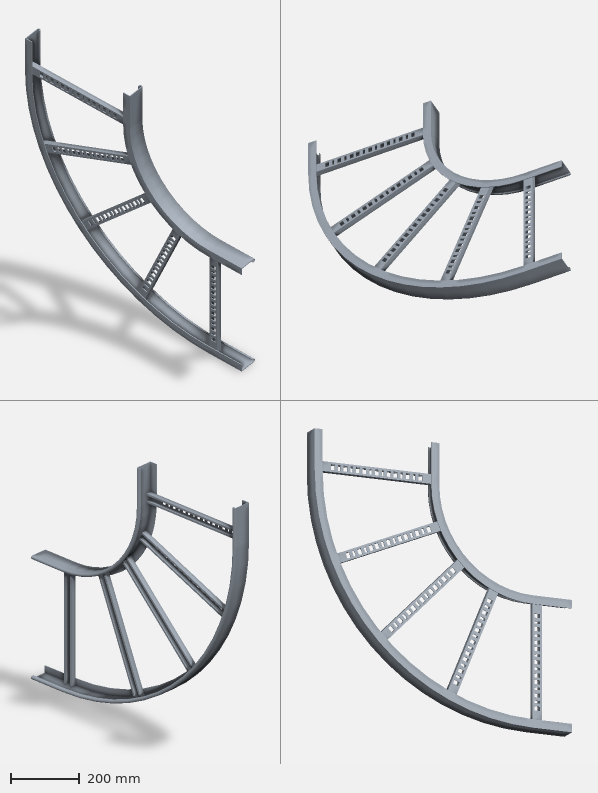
import cadquery as cq
import math

overall = 825.0
straight = 125.0
tray_width = 399.0
outer_radius = overall - straight
inner_radius = outer_radius - tray_width

rail_depth = 60.0
sheet = 2.5
flange_width = 25.5
curl_radius = 6.0
curl_drop = 9.0

rung_width = 30.0
rung_depth = 17.0
lip_width = 6.2
fan_angles = [22.5, 45.0, 67.5]

slot_height = 17.0
wide_slot = 12.0
narrow_slot = 7.5
slot_row = 280.0
slot_widths = [
    narrow_slot if kind == "n" else wide_slot
    for kind in "WnWnWWnWnWWnWnW"
]
slot_pitch = slot_row / (len(slot_widths) - 1)

front = -rail_depth / 2
back = rail_depth / 2


def follow_bend(section, radius):
    """Sweep a closed section, drawn at the top end, down, round the elbow and out along +X."""
    middle = radius * math.sqrt(0.5)
    path = (
        cq.Workplane("XZ")
        .moveTo(-radius, straight)
        .lineTo(-radius, 0)
        .threePointArc((-middle, -middle), (0, -radius))
        .lineTo(straight, -radius)
    )
    return section.sweep(path)


def make_rail(radius, inward):
    """Rail with its web face at the given radius; inward is the X sign towards the rungs."""
    def at(offset, y):
        return (-radius + inward * offset, y)

    curl_y = back - curl_radius
    curl_width = 2 * curl_radius
    section = (
        cq.Workplane("XY", origin=(0, 0, straight))
        .moveTo(*at(flange_width, front))
        .lineTo(*at(0, front))
        .lineTo(*at(0, curl_y))
        .threePointArc(at(curl_radius, back), at(curl_width, curl_y))
        .lineTo(*at(curl_width, back - curl_drop))
        .lineTo(*at(curl_width - sheet, back - curl_drop))
        .lineTo(*at(curl_width - sheet, curl_y))
        .threePointArc(at(curl_radius, back - sheet), at(sheet, curl_y))
        .lineTo(*at(sheet, front + sheet))
        .lineTo(*at(flange_width, front + sheet))
        .close()
    )
    return follow_bend(section, radius)


def make_space_between_webs():
    """Solid filling the gap between the rail webs; it trims the rung ends to fit them."""
    gap = tray_width - 2 * sheet
    middle_radius = (outer_radius + inner_radius) / 2
    section = (
        cq.Workplane("XY", origin=(-middle_radius, 0, straight))
        .rect(gap, rail_depth)
    )
    return follow_bend(section, middle_radius)


def make_rung_blank():
    """Slotted channel lying along X, centred on Z = 0, long enough to reach both webs."""
    rung_front = front + sheet
    rung_centre = (outer_radius + inner_radius) / 2

    def bar(depth, width, offset):
        return (
            cq.Workplane("XY")
            .box(tray_width, depth, width, centered=(True, False, True))
            .translate((-rung_centre, rung_front + offset, 0))
        )

    outside = bar(rung_depth, rung_width, 0)
    hollow = bar(rung_depth - 2 * sheet, rung_width - 2 * sheet, sheet)
    mouth = bar(rung_depth, rung_width - 2 * lip_width, sheet)
    rung = outside.cut(hollow).cut(mouth)

    first_slot = -rung_centre - slot_row / 2
    for index, width in enumerate(slot_widths):
        slot = cq.Workplane("XY").box(width, 3 * sheet, slot_height)
        rung = rung.cut(slot.translate((first_slot + index * slot_pitch, rung_front, 0)))
    return rung


def make_rungs():
    """Three rungs fanned round the curve and one at the start of each straight run."""
    blank = make_rung_blank()
    half = rung_width / 2
    placed = [blank.translate((0, 0, half))]
    for angle in fan_angles:
        placed.append(blank.rotate((0, 0, 0), (0, 1, 0), -angle))
    placed.append(blank.rotate((0, 0, 0), (0, 1, 0), -90).translate((half, 0, 0)))
    space = make_space_between_webs()
    return [rung.intersect(space).solids() for rung in placed]


outer_rail = make_rail(outer_radius, 1)
inner_rail = make_rail(inner_radius, -1)
rungs = make_rungs()

result = cq.Compound.makeCompound(
    [outer_rail.val(), inner_rail.val()] + [rung.val() for rung in rungs]
)